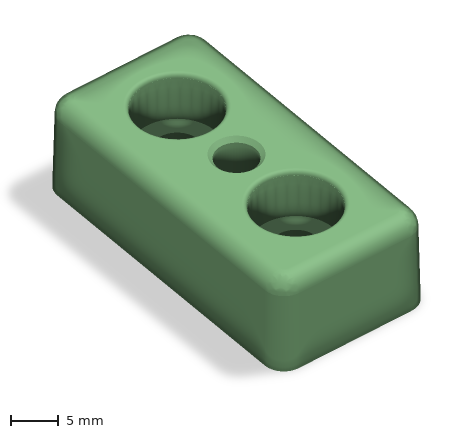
import cadquery as cq
import math

length = 40.0
width = length / 2
height = 12.0
draft_angle = 1.0
corner_radius = 2.5
top_edge_radius = 2.0

screw_spacing = length / 2
screw_hole_diameter = 5.5
counterbore_floor_diameter = 10.0
counterbore_depth = 6.0
counterbore_rim_radius = 0.5

centre_hole_diameter = 5.0
centre_hole_chamfer = 0.5


def make_block():
    """Drafted block with constant-radius corners and a rounded top edge."""
    block = cq.Workplane("XY").rect(length, width).extrude(height, taper=draft_angle)
    slanted_corners = block.edges("not(|X or |Y)")
    block = slanted_corners.fillet(corner_radius)
    return block.faces(">Z").edges().fillet(top_edge_radius)


def make_screw_hole_cutter():
    """Cutter on the Z axis: through hole plus a drafted counterbore with a rounded rim."""
    floor_height = height - counterbore_depth
    floor_radius = counterbore_floor_diameter / 2
    mouth_radius = floor_radius + counterbore_depth * math.tan(math.radians(draft_angle))
    rim_height = height - counterbore_rim_radius
    through_hole = cq.Workplane("XY").circle(screw_hole_diameter / 2).extrude(height)
    counterbore = (
        cq.Workplane("XY", origin=(0, 0, floor_height))
        .circle(floor_radius)
        .extrude(counterbore_depth, taper=-draft_angle)
    )
    rim = (
        cq.Workplane("XZ")
        .moveTo(0, rim_height)
        .lineTo(mouth_radius, rim_height)
        .radiusArc((mouth_radius + counterbore_rim_radius, height), counterbore_rim_radius)
        .lineTo(0, height)
        .close()
        .revolve(360, (0, 0), (0, 1))
    )
    return through_hole.union(counterbore).union(rim)


def make_centre_hole_cutter():
    """Cutter on the Z axis: straight hole opening into a 45 degree chamfer at the top."""
    radius = centre_hole_diameter / 2
    return (
        cq.Workplane("XZ")
        .moveTo(0, 0)
        .lineTo(radius, 0)
        .lineTo(radius, height - centre_hole_chamfer)
        .lineTo(radius + centre_hole_chamfer, height)
        .lineTo(0, height)
        .close()
        .revolve(360, (0, 0), (0, 1))
    )


result = make_block().cut(make_centre_hole_cutter())
for side in (-1, 1):
    screw_position = (side * screw_spacing / 2, 0, 0)
    result = result.cut(make_screw_hole_cutter().translate(screw_position))